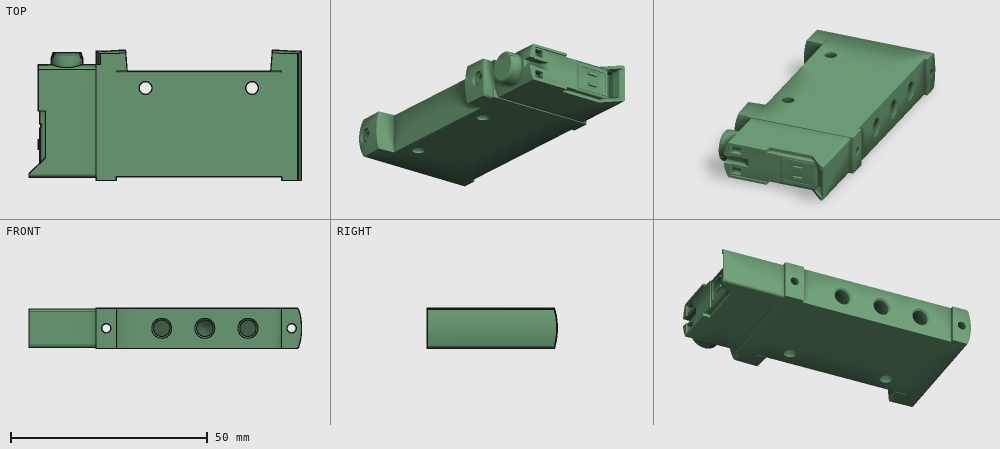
import cadquery as cq
import math

length = 69.3
thickness = 10.25
back_y = 33.1

body_front_y = 0.9
body_back_y = 27.8
body_edge_r = 0.2
mount_hole_d = 3.2
mount_hole_xs = (29.65, 56.7)
mount_hole_y = 23.5

port_d = 4.15
port_mouth_d = 5.05
port_mouth_depth = 0.45
port_depth = 5.55
port_pitch = 10.95
middle_port_x = 44.7
drill_point_angle = 118.0

cap_w = 5.1
left_cap_x = 17.1
cap_crown = 0.75
cap_edge_chamfer = 0.35
back_slope = 0.2
tab_reach_root = 2.8
tab_reach_tip = 2.35
cap_hole_d = 2.3
cap_hole_inset = 2.55
cap_counterbore_d = 3.8
cap_counterbore_depth = 1.05

head_t = 9.85
head_front_y = 0.8
head_back_y = 29.5
head_back_edge_y = 28.2
head_face_x = 2.35
hood_tip_y = 1.7
hood_edge_r = 0.6
shell_setback_x = 4.3
shell_setback_low_y = 5.8
shell_setback_high_y = 17.6

insert_face_x = 2.8
insert_back_y = 27.65
insert_t = 8.5
plug_bay_t = 8.1
plug_bay_high_y = 14.4
plug_bay_x = 3.0
plug_bay_edge_r = 0.4
plug_low_y = 4.4
plug_high_y = 13.4
plug_t = 6.7
plug_corner_r = 0.3
socket_low_y = 5.0
socket_high_y = 12.95
socket_t = 5.6
socket_depth = 0.3
pin_low_y = 7.9
pin_high_y = 10.4
pin_t = 0.6
pin_z = 1.45
latch_low_y = 2.1
latch_high_y = 4.15
latch_t = 7.6
latch_floor_x = 4.85
hood_lip_back_y = 1.9
hood_lip_front_y = 1.05

window_low_y = 24.9
window_high_y = insert_back_y
window_t = 1.95
window_z = 2.9
window_depth = 2.1
slot_t = 2.2
slot_floor_x = 4.65
slot_ramp_high_y = 24.6

button_d = 8.1
button_x = 9.7
button_top_y = 32.5
button_edge_r = 0.6
button_notch_y = 31.05
button_notch_t = 3.9
button_notch_inset = 0.5


def block(x0, x1, y0, y1, size_z, center_z=0.0):
    """Box given by its X and Y limits, centered on center_z."""
    box = cq.Workplane("XY").box(x1 - x0, y1 - y0, size_z, centered=(False, False, True))
    return box.translate((x0, y0, center_z))


def plate(points, size_z):
    """Outline in the XY plane, extruded to both sides of Z = 0."""
    return cq.Workplane("XY").polyline(points).close().extrude(size_z / 2, both=True)


def rod(diameter, x, y0, y1):
    """Cylinder along Y."""
    circle = cq.Workplane("XZ", origin=(x, y0, 0)).circle(diameter / 2)
    return circle.extrude(y0 - y1)


def body():
    solid = block(left_cap_x + cap_w, length - cap_w, body_front_y, body_back_y, thickness)
    solid = solid.edges("|X and >Y").fillet(body_edge_r)
    for x in mount_hole_xs:
        hole = cq.Workplane("XY").center(x, mount_hole_y).circle(mount_hole_d / 2)
        solid = solid.cut(hole.extrude(thickness, both=True))
    return solid


def port(x, pointed):
    """Blind port cutter with a flared mouth, ending flat or in a drill point."""
    r = port_d / 2
    bottom_y = body_front_y + port_depth
    point = r / math.tan(math.radians(drill_point_angle / 2)) if pointed else 0.0
    half = (
        cq.Workplane("XY")
        .moveTo(0, body_front_y)
        .lineTo(port_mouth_d / 2, body_front_y)
        .lineTo(r, body_front_y + port_mouth_depth)
        .lineTo(r, bottom_y)
        .lineTo(0, bottom_y + point)
        .close()
    )
    return half.revolve(360, (0, 0, 0), (0, 1, 0)).translate((x, 0, 0))


def crowned_bar(plane, reach, rise, size_z, depth):
    """Bar whose far side bulges by `rise` to `reach` in an arc across Z."""
    edge_z = size_z / 2
    profile = (
        cq.Workplane(plane)
        .moveTo(0, -edge_z)
        .lineTo(reach - rise, -edge_z)
        .threePointArc((reach, 0), (reach - rise, edge_z))
        .lineTo(0, edge_z)
        .close()
    )
    return profile.extrude(depth)


def cap():
    """End cap with its inner side at X = 0, its outer side at X = cap_w and its tab toward -X."""
    solid = plate(
        [
            (0, 0),
            (cap_w, 0),
            (cap_w, back_y),
            (-tab_reach_tip, back_y),
            (-tab_reach_root, body_back_y),
            (0, body_back_y),
        ],
        thickness,
    )
    cap_length = cap_w + tab_reach_tip
    tilt = -math.degrees(math.atan2(back_slope, cap_length))
    back = crowned_bar("YZ", back_y, cap_crown, thickness, 2 * cap_length).translate((-cap_length, 0, 0))
    pivot = (-tab_reach_tip, back_y)
    solid = solid.intersect(back.rotate((*pivot, 0), (*pivot, 1), tilt))
    hole_x = cap_w - cap_hole_inset
    solid = solid.cut(rod(cap_hole_d, hole_x, 0, back_y))
    return solid.cut(rod(cap_counterbore_d, hole_x, back_y - cap_counterbore_depth, back_y))


def cap_side_trim(low_y):
    """Cutter that leaves the outer side of a cap crowned above low_y."""
    core = crowned_bar("XZ", cap_w, cap_crown, thickness - 2 * cap_edge_chamfer, -back_y)
    shoulder_x = cap_w - cap_crown
    rim = block(0, shoulder_x, 0, back_y, thickness).edges("|Y and >X").chamfer(cap_edge_chamfer)
    return block(0, cap_w, low_y, back_y, thickness).cut(core.union(rim))


def head():
    shell = plate(
        [
            (left_cap_x, head_front_y),
            (0, head_front_y),
            (0, hood_tip_y),
            (shell_setback_x, shell_setback_low_y),
            (shell_setback_x, shell_setback_high_y),
            (head_face_x, shell_setback_high_y),
            (head_face_x, head_back_y),
            (left_cap_x, head_back_y),
        ],
        head_t,
    )
    shell = shell.edges("|X and <Y").fillet(hood_edge_r)
    crown = crowned_bar("YZ", head_back_y, head_back_y - head_back_edge_y, head_t, left_cap_x)
    solid = shell.intersect(crown)
    solid = solid.cut(block(0, insert_face_x, plug_bay_high_y, insert_back_y, insert_t))
    solid = solid.union(block(insert_face_x, left_cap_x, plug_bay_high_y, shell_setback_high_y, plug_bay_t))
    solid = solid.cut(block(0, shell_setback_x, hood_lip_back_y, plug_bay_high_y, plug_bay_t))
    bay = block(plug_bay_x, left_cap_x, hood_lip_back_y, plug_bay_high_y, plug_bay_t)
    solid = solid.union(bay.edges("|Y and <X").fillet(plug_bay_edge_r))
    solid = solid.cut(block(0, latch_floor_x, latch_low_y, latch_high_y, latch_t))
    return solid.cut(hood_lip_bevel())


def hood_lip_bevel():
    """Cutter that bevels the free edge of the hood between its side walls."""
    rise = hood_lip_back_y - hood_lip_front_y
    return plate([(0, hood_lip_front_y), (rise, hood_lip_back_y), (0, hood_lip_back_y)], latch_t)


def plug():
    solid = block(insert_face_x, left_cap_x, plug_low_y, plug_high_y, plug_t)
    solid = solid.edges("|X").fillet(plug_corner_r)
    socket_floor_x = insert_face_x + socket_depth
    socket = block(0, socket_floor_x, socket_low_y, socket_high_y, socket_t)
    solid = solid.cut(socket.edges("|X").fillet(plug_corner_r))
    for z in (-pin_z, pin_z):
        solid = solid.union(block(head_face_x, left_cap_x, pin_low_y, pin_high_y, pin_t, z))
    return solid


def override_recesses():
    """Cutter for the two windows and the ramped slot beside the button."""
    ramp_rise = slot_floor_x - insert_face_x
    cutter = plate(
        [
            (0, head_back_y),
            (slot_floor_x, head_back_y),
            (slot_floor_x, slot_ramp_high_y),
            (insert_face_x, slot_ramp_high_y - ramp_rise),
            (0, slot_ramp_high_y - ramp_rise),
        ],
        slot_t,
    )
    for z in (-window_z, window_z):
        window_floor_x = insert_face_x + window_depth
        cutter = cutter.union(block(0, window_floor_x, window_low_y, window_high_y, window_t, z))
    return cutter


def button():
    r = button_d / 2
    solid = rod(button_d, 0, head_back_edge_y, button_top_y)
    solid = solid.faces(">Y").edges().fillet(button_edge_r)
    core = (
        cq.Workplane("XY")
        .moveTo(0, button_notch_y)
        .lineTo(r, button_notch_y)
        .lineTo(r - button_notch_inset, button_top_y)
        .lineTo(0, button_top_y)
        .close()
        .revolve(360, (0, 0, 0), (0, 1, 0))
    )
    notch = block(-r, r, button_notch_y, button_top_y, button_notch_t).cut(core)
    return solid.cut(notch).translate((button_x, 0, 0))


valve = body()
for step in (-1, 0, 1):
    valve = valve.cut(port(middle_port_x + step * port_pitch, step == 0))

right_cap = cap().cut(cap_side_trim(0)).translate((length - cap_w, 0, 0))
left_cap = cap().cut(cap_side_trim(head_back_y)).mirror("YZ").translate((left_cap_x + cap_w, 0, 0))
pilot_head = head().cut(override_recesses()).union(plug()).union(button())

result = valve.union(right_cap).union(left_cap).union(pilot_head)